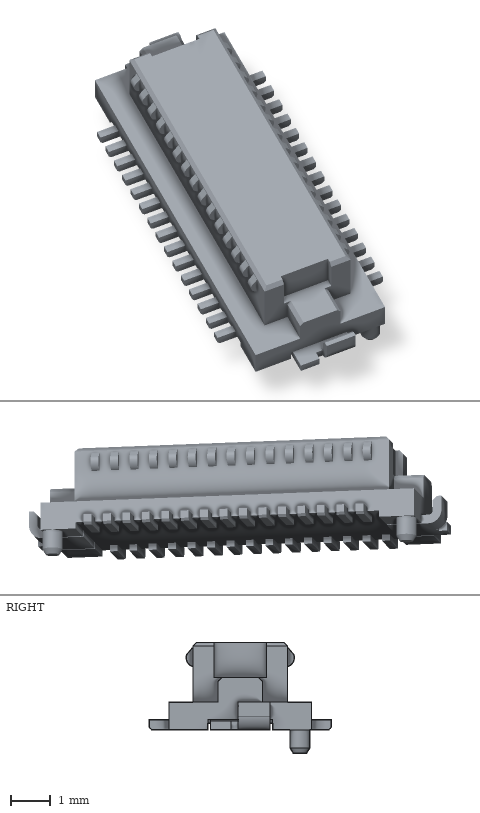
import cadquery as cq
import math

TOTAL_LENGTH = 10.6
TOTAL_WIDTH = 4.6
OVERLAP = 0.05

BASE_LENGTH = 9.6
BASE_WIDTH = 3.6
BASE_HEIGHT = 0.7
CHANNEL_LENGTH = 7.8
CHANNEL_HEIGHT = 0.16

HOUSING_LENGTH = 8.09
HOUSING_WIDTH = 2.4
TOP_Z = 2.2
EDGE_CHAMFER = 0.1
RECESS_WIDTH = 1.31
RECESS_DEPTH = 0.2

KEY_WIDTH = 1.12
KEY_TOP_Z = 1.31

CONTACT_COUNT = 15
CONTACT_ROW_LENGTH = 7.0
CONTACT_PITCH = CONTACT_ROW_LENGTH / (CONTACT_COUNT - 1)
CONTACT_WIDTH = 0.2
LEAD_HEIGHT = 0.25
LEAD_TIP_CHAMFER = 0.06
BUMP_TOP_Z = 2.08
BUMP_REACH = 0.17
BUMP_AXIS_Z = 1.82
BUMP_LOWER_RADIUS = 0.24
BUMP_UPPER_RADIUS = 0.17

PEG_Y = 1.5
PEG_RADIUS = 0.25
PEG_X = BASE_LENGTH / 2 - PEG_RADIUS
PEG_LENGTH = 0.59
PEG_TIP_RADIUS = 0.17
PEG_TIP_LENGTH = 0.14

CLIP_WIDTH = 1.5
CLIP_THICKNESS = 0.22
CLIP_INNER_RADIUS = 0.12
CLIP_TIP_CHAMFER = 0.11
CLIP_TOP_Z = BASE_HEIGHT
UPRIGHT_WIDTH = 0.81
CLIP_GAP = 0.18
CLIP_NECK_X = 5.05
FOOT_X = 5.26
WINDOW_WIDTH = 1.63
WINDOW_HEIGHT = 0.25
CLIP_ROOT_LENGTH = 0.16


def box(x0, x1, y0, y1, z0, z1):
    """Block between two opposite corners."""
    return cq.Workplane("XY").box(x1 - x0, y1 - y0, z1 - z0, centered=False).translate((x0, y0, z0))


def mirrored_in_x(shape):
    return shape.union(shape.mirror("YZ"))


def mirrored_in_y(shape):
    return shape.union(shape.mirror("XZ"))


def centred_block(length, width, z0, z1):
    return box(-length / 2, length / 2, -width / 2, width / 2, z0, z1)


def make_base():
    base = centred_block(BASE_LENGTH, BASE_WIDTH, 0, BASE_HEIGHT)
    channel = centred_block(CHANNEL_LENGTH, BASE_WIDTH, 0, CHANNEL_HEIGHT)
    windows = centred_block(BASE_LENGTH, WINDOW_WIDTH, 0, WINDOW_HEIGHT).cut(
        centred_block(CHANNEL_LENGTH, WINDOW_WIDTH, 0, WINDOW_HEIGHT)
    )
    return base.cut(channel).cut(windows)


def make_housing():
    housing = centred_block(HOUSING_LENGTH, HOUSING_WIDTH, BASE_HEIGHT - OVERLAP, TOP_Z)
    housing = housing.faces(">Z").edges().chamfer(EDGE_CHAMFER)
    wall_x = HOUSING_LENGTH / 2
    recess = box(wall_x - RECESS_DEPTH, wall_x, -RECESS_WIDTH / 2, RECESS_WIDTH / 2, KEY_TOP_Z, TOP_Z)
    return housing.cut(mirrored_in_x(recess))


def make_keys():
    """Bar along X whose two ends form the key blocks; its middle lies inside the housing."""
    bar = centred_block(BASE_LENGTH, KEY_WIDTH, BASE_HEIGHT - OVERLAP, KEY_TOP_Z)
    return bar.edges("|X and >Z").chamfer(EDGE_CHAMFER)


def make_contact():
    """Solder lead and contact bump of one +Y contact, centred on X = 0."""
    wall_y = HOUSING_WIDTH / 2
    tip_y = TOTAL_WIDTH / 2
    half_width = CONTACT_WIDTH / 2
    lead = box(-half_width, half_width, wall_y, tip_y, 0, LEAD_HEIGHT)
    lead = lead.edges(">Y and <Z").chamfer(LEAD_TIP_CHAMFER)

    crest_y = wall_y + BUMP_REACH
    lower_axis_y = crest_y - BUMP_LOWER_RADIUS
    upper_axis_y = crest_y - BUMP_UPPER_RADIUS

    def upper_arc(degrees):
        angle = math.radians(degrees)
        return (
            upper_axis_y + BUMP_UPPER_RADIUS * math.cos(angle),
            BUMP_AXIS_Z + BUMP_UPPER_RADIUS * math.sin(angle),
        )

    diagonal = math.sqrt(0.5) * BUMP_LOWER_RADIUS
    bump = (
        cq.Workplane("YZ")
        .moveTo(lower_axis_y, BUMP_TOP_Z)
        .lineTo(wall_y, BUMP_TOP_Z)
        .lineTo(*upper_arc(45))
        .threePointArc(upper_arc(22.5), (crest_y, BUMP_AXIS_Z))
        .threePointArc(
            (lower_axis_y + diagonal, BUMP_AXIS_Z - diagonal),
            (lower_axis_y, BUMP_AXIS_Z - BUMP_LOWER_RADIUS),
        )
        .close()
        .extrude(half_width, both=True)
    )
    return lead.union(bump)


def make_peg():
    shaft_z = PEG_TIP_LENGTH - PEG_LENGTH
    return (
        cq.Workplane("XZ")
        .moveTo(0, -PEG_LENGTH)
        .lineTo(PEG_TIP_RADIUS, -PEG_LENGTH)
        .lineTo(PEG_RADIUS, shaft_z)
        .lineTo(PEG_RADIUS, OVERLAP)
        .lineTo(0, OVERLAP)
        .close()
        .revolve(360, (0, 0, 0), (0, 1, 0))
        .translate((PEG_X, PEG_Y, 0))
    )


def make_clip():
    """Hold-down at the +X end: an upright tongue beside a flat foot."""
    outer_x = TOTAL_LENGTH / 2
    inner_x = CHANNEL_LENGTH / 2
    half_width = CLIP_WIDTH / 2
    bend_radius = CLIP_INNER_RADIUS + CLIP_THICKNESS

    tongue_face_x = outer_x - CLIP_THICKNESS
    tongue_y = half_width - UPRIGHT_WIDTH
    tongue = (
        cq.Workplane("XZ")
        .moveTo(inner_x, 0)
        .lineTo(outer_x - bend_radius, 0)
        .tangentArcPoint((outer_x, bend_radius), relative=False)
        .lineTo(outer_x, CLIP_TOP_Z)
        .lineTo(tongue_face_x + CLIP_TIP_CHAMFER, CLIP_TOP_Z)
        .lineTo(tongue_face_x, CLIP_TOP_Z - CLIP_TIP_CHAMFER)
        .lineTo(tongue_face_x, bend_radius)
        .tangentArcPoint((outer_x - bend_radius, CLIP_THICKNESS), relative=False)
        .lineTo(inner_x, CLIP_THICKNESS)
        .close()
        .extrude(-UPRIGHT_WIDTH)
        .translate((0, tongue_y, 0))
    )

    foot_y = tongue_y - CLIP_GAP
    foot = box(inner_x, FOOT_X, -half_width, foot_y, 0, CLIP_THICKNESS)
    neck = box(inner_x, CLIP_NECK_X, foot_y, tongue_y, 0, CLIP_THICKNESS)
    root = box(inner_x, inner_x + CLIP_ROOT_LENGTH, -half_width, half_width, 0, WINDOW_HEIGHT + OVERLAP)
    return tongue.union(foot).union(neck).union(root)


result = make_base().union(make_housing()).union(make_keys())
result = result.union(mirrored_in_x(make_peg())).union(mirrored_in_x(make_clip()))
contact_pair = mirrored_in_y(make_contact())
for index in range(CONTACT_COUNT):
    contact_x = index * CONTACT_PITCH - CONTACT_ROW_LENGTH / 2
    result = result.union(contact_pair.translate((contact_x, 0, 0)))